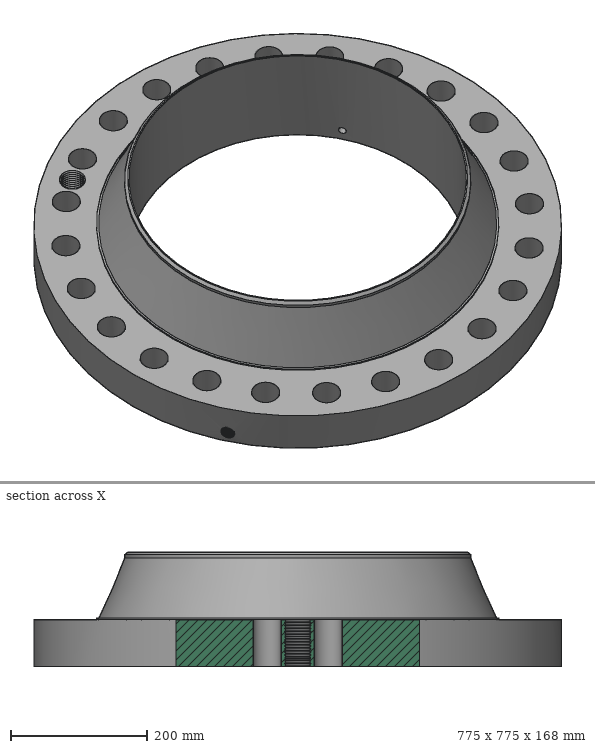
import cadquery as cq
import math

flange_diameter = 775.0
flange_thickness = 69.0
total_height = 168.0
bore_diameter = 495.0
hub_step_diameter = 590.0
hub_step_height = 2.0
hub_base_diameter = 584.0
neck_diameter = 508.0
neck_length = 5.0
bevel_height = 4.0
tip_diameter = 499.0

bolt_circle_diameter = 685.5
bolt_count = 24
bolt_hole_diameter = 41.0

jack_major_diameter = 38.0
jack_minor_diameter = 34.0
jack_pitch = 4.25

tap_height = 18.5
tap_major_diameter = 21.0
tap_minor_diameter = 17.0
tap_pitch = 1.9
tap_thread_depth = 23.0
tap_bore_diameter = 12.0

flange_radius = flange_diameter / 2
bolt_circle_radius = bolt_circle_diameter / 2


def flange_body():
    """Revolve the half section of the flange and its hub."""
    bore_radius = bore_diameter / 2
    step_radius = hub_step_diameter / 2
    neck_radius = neck_diameter / 2
    step_top = flange_thickness + hub_step_height
    bevel_start = total_height - bevel_height
    section = [
        (bore_radius, 0),
        (flange_radius, 0),
        (flange_radius, flange_thickness),
        (step_radius, flange_thickness),
        (step_radius, step_top),
        (hub_base_diameter / 2, step_top),
        (neck_radius, bevel_start - neck_length),
        (neck_radius, bevel_start),
        (tip_diameter / 2, total_height),
        (bore_radius, total_height),
    ]
    return cq.Workplane("XZ").polyline(section).close().revolve(360, (0, 0), (0, 1))


def bolt_holes():
    """Cutters for the ring of through holes, half a pitch away from the X axis."""
    first_angle = 180 / bolt_count
    return (
        cq.Workplane("XY")
        .polarArray(bolt_circle_radius, first_angle, 360, bolt_count)
        .circle(bolt_hole_diameter / 2)
        .extrude(flange_thickness)
    )


def threaded_cutter(major_diameter, minor_diameter, pitch, length):
    """Tapped-hole cutter along +Z, its thread made of whole rings of V grooves."""
    major_radius = major_diameter / 2
    minor_radius = minor_diameter / 2
    ring_count = math.floor(length / pitch)
    ring_pitch = length / ring_count
    outline = [(0, 0), (major_radius, 0)]
    for ring in range(ring_count):
        outline.append((minor_radius, (ring + 0.5) * ring_pitch))
        outline.append((major_radius, (ring + 1) * ring_pitch))
    outline.append((0, length))
    return cq.Workplane("XZ").polyline(outline).close().revolve(360, (0, 0), (0, 1))


def jackscrew_hole():
    """Cutter for the threaded through hole in the flange ring."""
    cutter = threaded_cutter(jack_major_diameter, jack_minor_diameter, jack_pitch, flange_thickness)
    return cutter.translate((-bolt_circle_radius, 0, 0))


def pressure_tap():
    """Cutter for the -Y tap: a threaded mouth, then a plain bore into the flange bore."""
    thread = threaded_cutter(tap_major_diameter, tap_minor_diameter, tap_pitch, tap_thread_depth)
    bore = cq.Workplane("XY").circle(tap_bore_diameter / 2).extrude(flange_radius)
    radial_cutter = thread.union(bore).rotate((0, 0, 0), (1, 0, 0), -90)
    return radial_cutter.translate((0, -flange_radius, tap_height))


result = flange_body().cut(bolt_holes()).cut(jackscrew_hole())
for tap_angle in (0, 180):
    result = result.cut(pressure_tap().rotate((0, 0, 0), (0, 0, 1), tap_angle))